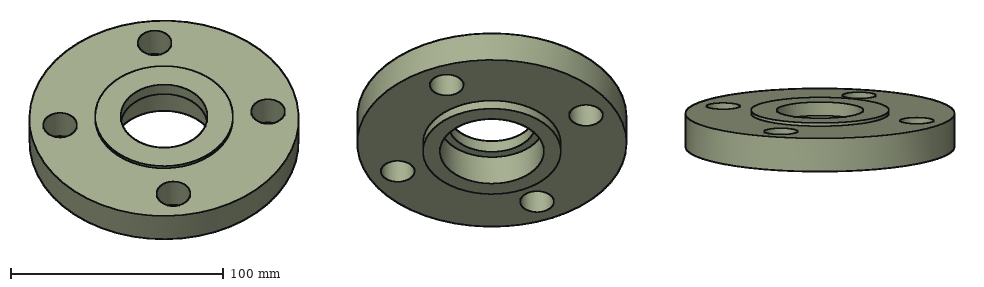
import cadquery as cq

flange_diameter = 127.0
total_height = 22.4

face_diameter = 65.0
face_height = 1.5
hub_height = 4.8
flange_height = total_height - face_height - hub_height

bore_diameter = 40.9
bore_height = 6.5
socket_diameter = 49.0
socket_depth = total_height - bore_height

bolt_hole_diameter = 15.9
bolt_circle_diameter = 98.4
bolt_count = 4
first_bolt_angle = 45


def disc(diameter, height, base):
    """Upright cylinder on the Z axis, starting at the given base level."""
    return cq.Workplane("XY").workplane(offset=base).circle(diameter / 2).extrude(height)


def bolt_holes():
    """Ring of cylinders that cut the bolt holes through the flange."""
    return (
        cq.Workplane("XY")
        .polarArray(bolt_circle_diameter / 2, first_bolt_angle, 360, bolt_count)
        .circle(bolt_hole_diameter / 2)
        .extrude(total_height)
    )


hub_and_face = disc(face_diameter, total_height, 0)
flange = disc(flange_diameter, flange_height, hub_height)
bore = disc(bore_diameter, total_height, 0)
socket = disc(socket_diameter, socket_depth, 0)

result = flange.union(hub_and_face).cut(bore).cut(socket).cut(bolt_holes())